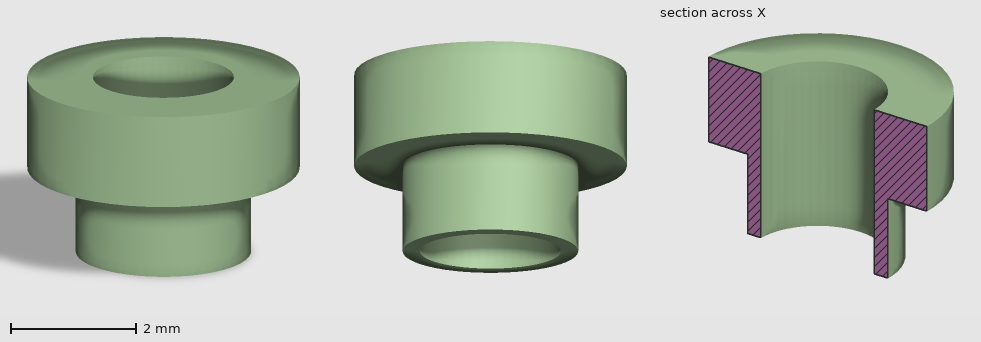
import cadquery as cq

head_diameter = 4.35
sleeve_diameter = 2.8
bore_diameter = 2.25
total_height = 2.9
head_height = 1.5
sleeve_height = total_height - head_height

sleeve = cq.Workplane("XY").circle(sleeve_diameter / 2).extrude(sleeve_height)
head = (
    cq.Workplane("XY")
    .workplane(offset=sleeve_height)
    .circle(head_diameter / 2)
    .extrude(head_height)
)

bore = cq.Workplane("XY").circle(bore_diameter / 2).extrude(total_height)

result = sleeve.union(head).cut(bore)